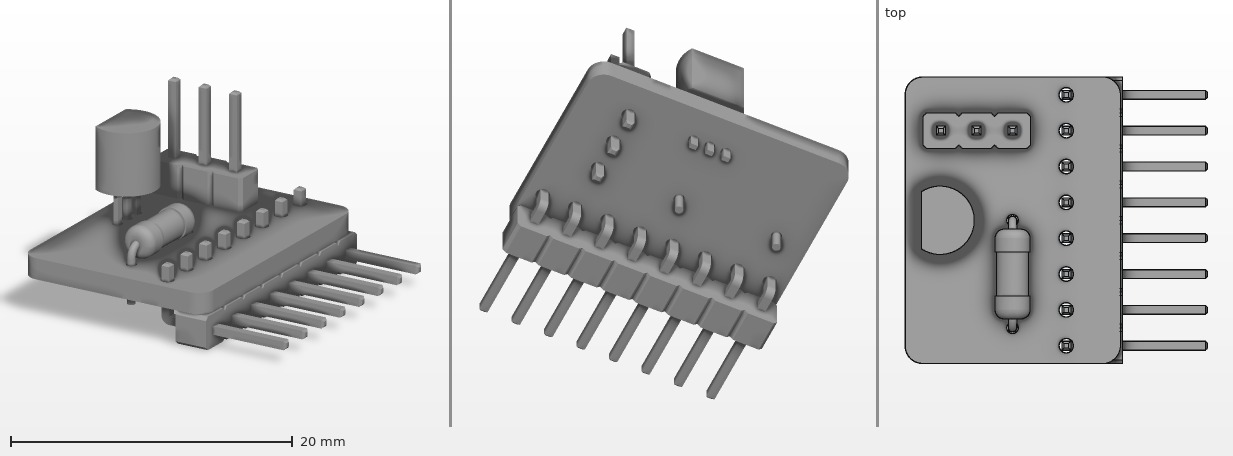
import cadquery as cq
import math

board_length = 20.35
angled_pin_count = 8
pitch = board_length / angled_pin_count
standoff = 0.06

board_width = 15.29
board_thickness = 1.6
board_corner_radius = 1.27
header_hole_diameter = 1.0
resistor_hole_diameter = 0.8
transistor_hole_diameter = 0.75

pin_size = 0.65
pin_tip_chamfer = 0.15
housing_chamfer = 0.25

straight_pin_count = 3
straight_pin_bottom = -1.35
straight_pin_top = 10.22
straight_header_x = 2 * pitch
straight_header_y = 2.5 * pitch
straight_housing_bottom = board_thickness + standoff

angled_pin_x = 4.5 * pitch
angled_pin_top = 2.88
angled_pin_end = 21.47
angled_housing_start = 12.9
angled_axis_z = -standoff - pitch / 2

transistor_body_x = 2.5
transistor_diameter = 4.85
transistor_flat_offset = 1.33
transistor_bottom = 4.17
transistor_height = 4.8
transistor_lead_count = 3
transistor_lead_x = pitch
transistor_lead_thickness = 0.39
transistor_lead_width = 0.54
transistor_lead_bottom = -0.85
transistor_lead_pitch = pitch / 2

resistor_x = 3 * pitch
resistor_y = -1.5 * pitch
resistor_length = 6.38
resistor_body_diameter = 2.25
resistor_cap_diameter = 2.5
resistor_cap_length = 1.63
resistor_cap_fillet = 0.65
resistor_lead_diameter = 0.6
resistor_lead_count = 2
resistor_lead_span = 3 * pitch
resistor_lead_bottom = -1.37
resistor_lead_bend = 0.85
resistor_axis_z = board_thickness + standoff + resistor_cap_diameter / 2


def row(count, spacing):
    """Positions of evenly spaced items centred on zero."""
    return [(i - (count - 1) / 2) * spacing for i in range(count)]


straight_pin_points = [(straight_header_x + x, straight_header_y) for x in row(straight_pin_count, pitch)]
angled_pin_points = [(angled_pin_x, y) for y in row(angled_pin_count, pitch)]
transistor_lead_points = [(transistor_lead_x, y) for y in row(transistor_lead_count, transistor_lead_pitch)]
resistor_lead_points = [(resistor_x, resistor_y + y) for y in row(resistor_lead_count, resistor_lead_span)]


def make_board():
    """Rounded plate with a clearance hole for every pin and lead."""
    board = (
        cq.Workplane("XY")
        .box(board_width, board_length, board_thickness, centered=(False, True, False))
        .edges("|Z")
        .fillet(board_corner_radius)
    )
    hole_groups = [
        (straight_pin_points + angled_pin_points, header_hole_diameter),
        (resistor_lead_points, resistor_hole_diameter),
        (transistor_lead_points, transistor_hole_diameter),
    ]
    for points, diameter in hole_groups:
        holes = cq.Workplane("XY").pushPoints(points).circle(diameter / 2).extrude(board_thickness)
        board = board.cut(holes)
    return board


def make_housing(count):
    """Row of corner-chamfered square cells along X, centred in X and Y, standing on Z = 0."""
    cell = cq.Workplane("XY").box(pitch, pitch, pitch, centered=(True, True, False))
    cell = cell.edges("|Z").chamfer(housing_chamfer)
    housing = cq.Workplane("XY")
    for x in row(count, pitch):
        housing = housing.union(cell.translate((x, 0, 0)))
    return housing


def make_straight_header():
    """Housing with square pins running straight down through the board."""
    header = make_housing(straight_pin_count)
    header = header.translate((straight_header_x, straight_header_y, straight_housing_bottom))
    pin = (
        cq.Workplane("XY")
        .box(pin_size, pin_size, straight_pin_top - straight_pin_bottom, centered=(True, True, False))
        .faces("<Z or >Z")
        .chamfer(pin_tip_chamfer)
    )
    for x, y in straight_pin_points:
        header = header.union(pin.translate((x, y, straight_pin_bottom)))
    return header


def make_angled_pin():
    """L-shaped square pin at Y = 0, rounded on the outside of its bend."""
    left = angled_pin_x - pin_size / 2
    bottom = angled_axis_z - pin_size / 2
    height = angled_pin_top - bottom
    length = angled_pin_end - left
    upright = cq.Workplane("XY").box(pin_size, pin_size, height, centered=(False, True, False))
    upright = upright.faces(">Z").chamfer(pin_tip_chamfer)
    arm = cq.Workplane("XY").box(length, pin_size, pin_size, centered=(False, True, False))
    arm = arm.faces(">X").chamfer(pin_tip_chamfer)
    pin = upright.union(arm).faces("<X").edges("<Z").fillet(pin_size)
    return pin.translate((left, 0, bottom))


def make_angled_header():
    """Housing below the board's right edge with pins bent up through the board."""
    housing = make_housing(angled_pin_count)
    housing = housing.rotate((0, 0, 0), (0, 0, 1), 90).rotate((0, 0, 0), (0, 1, 0), 90)
    header = housing.translate((angled_housing_start, 0, angled_axis_z))
    pin = make_angled_pin()
    for _, y in angled_pin_points:
        header = header.union(pin.translate((0, y, 0)))
    return header


def make_transistor():
    """Cylinder with a flat on its left side, standing on three flat leads."""
    radius = transistor_diameter / 2
    half_flat = math.sqrt(radius**2 - transistor_flat_offset**2)
    transistor = (
        cq.Workplane("XY")
        .moveTo(-transistor_flat_offset, -half_flat)
        .threePointArc((radius, 0), (-transistor_flat_offset, half_flat))
        .close()
        .extrude(transistor_height)
        .translate((transistor_body_x, 0, transistor_bottom))
    )
    leads = (
        cq.Workplane("XY", origin=(0, 0, transistor_lead_bottom))
        .pushPoints(transistor_lead_points)
        .rect(transistor_lead_thickness, transistor_lead_width)
        .extrude(transistor_bottom - transistor_lead_bottom)
    )
    return transistor.union(leads)


def make_resistor():
    """Cylinder with two wider rounded end caps and a wire bent down at both ends."""
    half_length = resistor_length / 2
    half_span = resistor_lead_span / 2

    half_body = half_length - resistor_cap_length
    body = cq.Workplane("XZ").circle(resistor_body_diameter / 2).extrude(half_body, both=True)
    cap = (
        cq.Workplane("XZ", origin=(0, half_length, 0))
        .circle(resistor_cap_diameter / 2)
        .extrude(resistor_cap_length)
        .faces(">Y")
        .edges()
        .fillet(resistor_cap_fillet)
    )
    body = body.union(cap).union(cap.mirror("XZ"))

    bend_start = half_span - resistor_lead_bend
    bend_middle = resistor_lead_bend * math.sqrt(0.5)
    wire_path = (
        cq.Workplane("YZ")
        .lineTo(bend_start, 0)
        .threePointArc(
            (bend_start + bend_middle, bend_middle - resistor_lead_bend),
            (half_span, -resistor_lead_bend),
        )
        .lineTo(half_span, resistor_lead_bottom - resistor_axis_z)
    )
    lead = cq.Workplane("XZ").circle(resistor_lead_diameter / 2).sweep(wire_path)
    resistor = body.union(lead).union(lead.mirror("XZ"))
    return resistor.translate((resistor_x, resistor_y, resistor_axis_z))


board = make_board()
straight_header = make_straight_header()
angled_header = make_angled_header()
transistor = make_transistor()
resistor = make_resistor()

result = cq.Compound.makeCompound(
    [
        board.solids().val(),
        straight_header.solids().val(),
        angled_header.solids().val(),
        transistor.solids().val(),
        resistor.solids().val(),
    ]
)